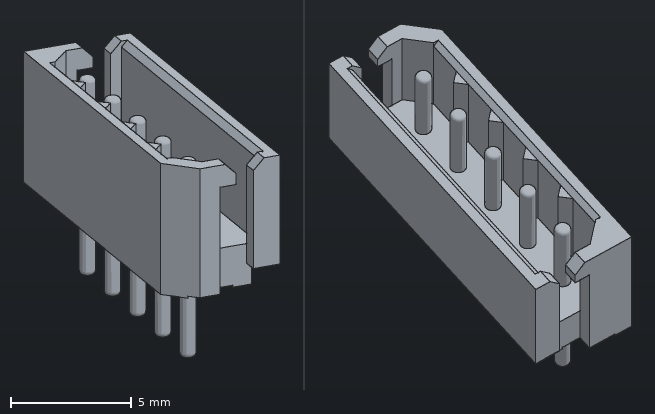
import cadquery as cq

length = 14.9
depth = 4.9
height = 5.89
corner_cut = 1.24

end_wall = 0.69
floor_top = 1.86
front_wall = 0.7
back_wall = 0.73
cavity_corner = 0.94
front_lead_in = 0.24
back_lead_in = 0.27

slot_front = 2.16
slot_back = 3.68
hook_back = 2.89
hook_height = 0.98
slot_bevel = 0.49

base_back = 3.92
back_wall_bottom = 0.98
foot_height = 0.09
foot_depth = 0.86

pin_count = 5
pin_pitch = 2.5
pin_y = 1.8
pin_diameter = 0.7
pin_bottom = -3.52
pin_top = 5.36
pin_end_radius = 0.2
rib_size = 0.45
rib_drop = 0.24

cavity_front = front_wall
cavity_back = depth - back_wall
cavity_left = end_wall
cavity_right = length - end_wall
first_pin_x = (length - pin_pitch * (pin_count - 1)) / 2


def box(x_range, y_range, z_range):
    """Axis-aligned block between the given limits."""
    size = [b - a for a, b in (x_range, y_range, z_range)]
    return cq.Workplane("XY").box(*size, centered=False).translate(
        (x_range[0], y_range[0], z_range[0])
    )


def along_x(points, x_range):
    """Prism with a (y, z) outline, running along X."""
    start, end = x_range
    return cq.Workplane("YZ", origin=(start, 0, 0)).polyline(points).close().extrude(end - start)


def make_shell():
    """Outer block with its bevelled corner and the raised rear underside."""
    shell = box((0, length), (0, depth), (0, height))
    corner = (
        cq.Workplane("XY")
        .polyline([(length - corner_cut, 0), (length, 0), (length, corner_cut)])
        .close()
        .extrude(height)
    )
    rear = box((0, length), (base_back, depth), (0, back_wall_bottom))
    recess = box((0, length), (foot_depth, base_back - foot_depth), (0, foot_height))
    return shell.cut(corner).cut(rear).cut(recess)


def make_cavity():
    """Cavity with bevelled front corners and lead-ins along the front and back rims."""
    bevel_left = cavity_left + cavity_corner
    bevel_right = cavity_right - cavity_corner
    bevel_end = cavity_front + cavity_corner
    cavity = (
        cq.Workplane("XY", origin=(0, 0, floor_top))
        .polyline([
            (bevel_left, cavity_front),
            (bevel_right, cavity_front),
            (cavity_right, bevel_end),
            (cavity_right, cavity_back),
            (cavity_left, cavity_back),
            (cavity_left, bevel_end),
        ])
        .close()
        .extrude(height - floor_top)
    )
    front_bevel = along_x(
        [
            (cavity_front, height - front_lead_in),
            (cavity_front, height),
            (cavity_front - front_lead_in, height),
        ],
        (bevel_left, bevel_right),
    )
    back_bevel = along_x(
        [
            (cavity_back, height - back_lead_in),
            (cavity_back + back_lead_in, height),
            (cavity_back, height),
        ],
        (cavity_left, cavity_right),
    )
    return cavity.union(front_bevel).union(back_bevel)


def make_end_slot(x_range):
    """Hooked slot through an end wall, flared at the top and open below the back wall."""
    return along_x(
        [
            (slot_front, 0),
            (base_back, 0),
            (base_back, back_wall_bottom),
            (slot_back, back_wall_bottom),
            (slot_back, height - slot_bevel),
            (slot_back + slot_bevel, height),
            (hook_back - slot_bevel, height),
            (hook_back, height - slot_bevel),
            (hook_back, height - hook_height),
            (slot_front, height - hook_height),
        ],
        x_range,
    )


def make_rib(x):
    """Triangular keying rib on the inside of the front wall."""
    return (
        cq.Workplane("XY", origin=(x, cavity_front, floor_top))
        .polyline([(-rib_size, 0), (rib_size, 0), (0, rib_size)])
        .close()
        .extrude(height - rib_drop - floor_top)
    )


def make_pin(x):
    """Round pin with both ends rounded over."""
    pin = (
        cq.Workplane("XY", origin=(x, pin_y, pin_bottom))
        .circle(pin_diameter / 2)
        .extrude(pin_top - pin_bottom)
    )
    return pin.faces(">Z or <Z").edges().fillet(pin_end_radius)


result = make_shell().cut(make_cavity())
for end_range in ((0, end_wall), (length - end_wall, length)):
    result = result.cut(make_end_slot(end_range))

for index in range(pin_count - 1):
    result = result.union(make_rib(first_pin_x + pin_pitch * (index + 0.5)))

for index in range(pin_count):
    result = result.union(make_pin(first_pin_x + pin_pitch * index))